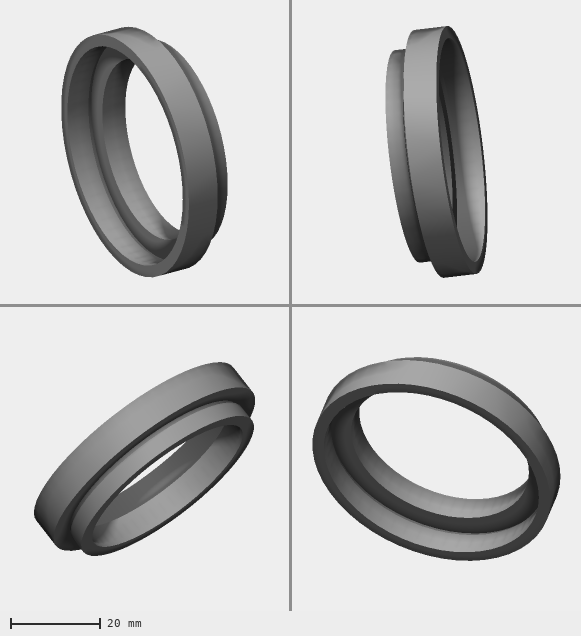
import cadquery as cq

flange_diameter = 56.0
spigot_diameter = 48.0
groove_diameter = 47.0
counterbore_diameter = 50.55
bore_diameter = 41.8

total_length = 12.5
flange_length = 7.5
groove_width = 1.0
counterbore_depth = 6.5
undercut_diameter = 51.6
undercut_width = 1.0


def disc(diameter, start, length):
    """Solid cylinder along +Y whose near face lies at Y = start."""
    return (
        cq.Workplane("XZ", origin=(0, start, 0))
        .circle(diameter / 2)
        .extrude(-length)
    )


spigot_start = flange_length + groove_width
flange = disc(flange_diameter, 0, flange_length)
groove = disc(groove_diameter, flange_length, groove_width)
spigot = disc(spigot_diameter, spigot_start, total_length - spigot_start)
body = flange.union(groove).union(spigot)

bore = disc(bore_diameter, 0, total_length)
counterbore = disc(counterbore_diameter, 0, counterbore_depth)

undercut = disc(undercut_diameter, counterbore_depth - undercut_width, undercut_width)

result = body.cut(bore).cut(counterbore).cut(undercut)